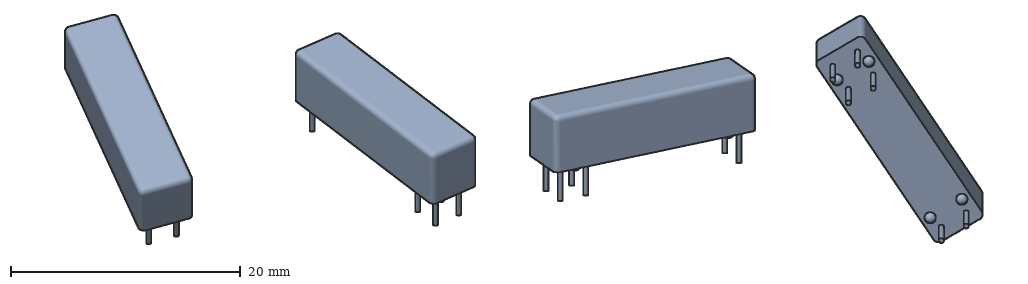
import cadquery as cq

body_length = 20.07
body_width = 4.95
total_height = 8.49
edge_radius = 0.5

pin_length = 3.2
pin_diameter = 0.46
pin_pitch = 2.55
pin_row_spacing = 2.55
end_pin_x = 8.9
pin_columns_x = (-end_pin_x, end_pin_x - pin_pitch, end_pin_x)

standoff_radius = 0.5
standoff_x = end_pin_x - pin_pitch / 2
standoff_y = 1.63

body_height = total_height - pin_length
row_sides = (-1, 1)


def make_body():
    """Block resting on Z = 0, rounded on its upright and top edges."""
    block = cq.Workplane("XY").box(body_length, body_width, body_height, centered=(True, True, False))
    return block.edges("|Z or >Z").fillet(edge_radius)


def make_pins():
    """Two rows of pins hanging down from the underside."""
    centers = [(x, side * pin_row_spacing / 2) for x in pin_columns_x for side in row_sides]
    return cq.Workplane("XY").pushPoints(centers).circle(pin_diameter / 2).extrude(-pin_length)


def make_standoffs():
    """Four balls centred on the underside, so that half of each one protrudes."""
    corners = cq.Workplane("XY").rect(2 * standoff_x, 2 * standoff_y, forConstruction=True).vertices()
    return corners.sphere(standoff_radius)


result = make_body().union(make_pins()).union(make_standoffs())